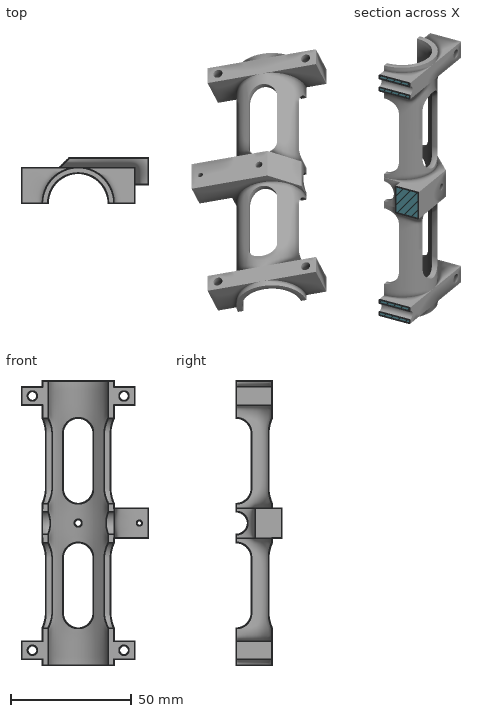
import cadquery as cq

length = 118.1
outer_radius = 14.9
bore_radius = 12.5

lug_span = 47.0
lug_height = 7.5
lug_end_gap = 2.5
lug_hole_diameter = 3.9
lug_hole_x = 19.0
lug_center_z = length / 2 - lug_end_gap - lug_height / 2

slot_length = 35.5
slot_width = 12.5
slot_center_z = 25.9

bracket_height = 12.5
bracket_half_width = 15.0
bracket_back_y = 18.9
slope_size = 11.3
ear_end_x = 29.2
ear_front_y = 7.8
ear_hole_diameter = 2.1
ear_hole_x = 25.4
center_hole_diameter = 3.0
notch_diameter = 9.5

cut_length = 94.5


def round_cutter_y(diameter, x, z):
    """Cylinder along +Y, starting at Y = 0."""
    return cq.Workplane("XZ").center(x, z).circle(diameter / 2).extrude(-cut_length)


def slot_cutter(plane, z):
    """Upright round-ended slot, cut to both sides of a plane through the tube axis."""
    sketch = cq.Workplane(plane).center(0, z)
    return sketch.slot2D(slot_length, slot_width, 90).extrude(cut_length / 2, both=True)


def make_half_tube_blank():
    """Solid half cylinder on the +Y side; the bore is cut later."""
    profile = cq.Workplane("XY").moveTo(-outer_radius, 0)
    profile = profile.threePointArc((0, outer_radius), (outer_radius, 0)).close()
    return profile.extrude(length / 2, both=True)


def make_lug_bar(z):
    """Bar across the tube that forms a lug on each side."""
    bar = cq.Workplane("XY").box(lug_span, outer_radius, lug_height, centered=(True, False, True))
    return bar.translate((0, 0, z))


def make_bracket():
    """Block with a 45 degree slope at its back left corner and an ear at the right."""
    outline = [
        (-bracket_half_width, 0),
        (-bracket_half_width, bracket_back_y - slope_size),
        (slope_size - bracket_half_width, bracket_back_y),
        (ear_end_x, bracket_back_y),
        (ear_end_x, ear_front_y),
        (bracket_half_width, ear_front_y),
        (bracket_half_width, 0),
    ]
    return cq.Workplane("XY").polyline(outline).close().extrude(bracket_height / 2, both=True)


result = make_half_tube_blank().union(make_bracket())
for side in (-1, 1):
    result = result.union(make_lug_bar(side * lug_center_z))
bore = cq.Workplane("XY", origin=(0, 0, -length / 2)).circle(bore_radius).extrude(length)
result = result.cut(bore)

for side in (-1, 1):
    for plane in ("XZ", "YZ"):
        result = result.cut(slot_cutter(plane, side * slot_center_z))

notch = cq.Workplane("YZ").circle(notch_diameter / 2).extrude(cut_length / 2, both=True)
result = result.cut(notch)

for x_side in (-1, 1):
    for z_side in (-1, 1):
        lug_hole = round_cutter_y(lug_hole_diameter, x_side * lug_hole_x, z_side * lug_center_z)
        result = result.cut(lug_hole)
result = result.cut(round_cutter_y(center_hole_diameter, 0, 0))
result = result.cut(round_cutter_y(ear_hole_diameter, ear_hole_x, 0))